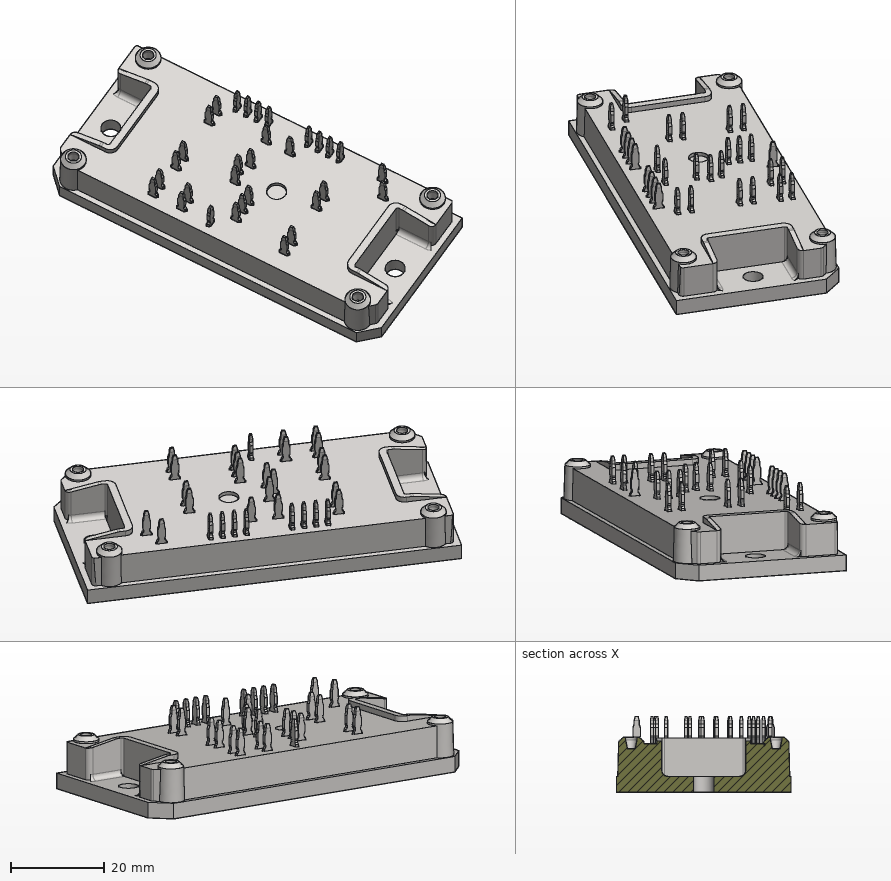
import cadquery as cq
import math

LENGTH = 82.0
WIDTH = 37.4
TOTAL_HEIGHT = 16.2
BASE_HEIGHT = 3.45
BASE_CORNER_CUT = 3.9

HOUSING_TOP = 10.4
HOUSING_LENGTH = 79.2
HOUSING_TOP_WIDTH = 34.5
HOUSING_BOTTOM_WIDTH = 34.9
HOUSING_CORNER_CUT = 3.2
HOUSING_CORNER_RADIUS = 0.9

NOTCH_WIDTH = 17.9
NOTCH_BACK_X = 30.6
NOTCH_BACK_RADIUS = 0.5
NOTCH_MOUTH_RADIUS = 1.15
NOTCH_FLOOR_FILLET = 1.2
FLOOR_FILLET_WRAP_ANGLE = 30
SLIT_GAP = 0.5
RIM_TOP = 11.65
RIM_SIDE_THICKNESS = 1.15
RIM_BACK_THICKNESS = 1.7
RIM_CORNER_RADIUS = 1.9
RIM_LEVEL_X = 32.15
RIM_SLOPE_BLEND_RADIUS = 2.95
MOUNT_HOLE_DIAMETER = 4.3

BOSS_X = 35.5
BOSS_Y = 15.5
BOSS_BOTTOM_DIAMETER = 5.9
BOSS_SHOULDER_DIAMETER = 5.5
BOSS_TOP_DIAMETER = 3.45
BOSS_SHOULDER_Z = 10.8
BOSS_TOP = 11.8
BOSS_HOLE_DIAMETER = 2.4
BOSS_HOLE_STRAIGHT_DEPTH = 0.65
BOSS_HOLE_END_DIAMETER = 1.6
BOSS_HOLE_DEPTH = 2.5

RECESS_X = 5.9
RECESS_DIAMETER = 4.3
RECESS_DEPTH = 0.8

PIN_THICKNESS = 0.7
PIN_TIP_THICKNESS = 0.4
PIN_TIP_HEIGHT = 0.9
PIN_HEIGHT = TOTAL_HEIGHT - HOUSING_TOP
PIN_POCKET_LENGTH = 2.55
PIN_POCKET_WIDTH = 1.1
PIN_POCKET_DEPTH = 0.4
PIN_EMBED = 2 * PIN_POCKET_DEPTH
PIN_HALF_PROFILE = [
    (1.0, 0.0),
    (1.0, 0.4),
    (0.65, 0.8),
    (0.65, 1.2),
    (0.8, 1.6),
    (0.8, 3.45),
    (0.6, 4.2),
    (0.6, PIN_HEIGHT - PIN_TIP_HEIGHT),
    (0.3, PIN_HEIGHT),
]
PINS_ALONG_X = [
    (-16.3, -14.3), (-16.3, -11.65),
    (-15.75, -5.7), (-15.75, -2.8), (-15.75, 8.0), (-15.75, 11.1),
    (-9.2, -14.3), (-9.2, -11.65),
    (-3.85, 0.25), (-2.95, -2.5), (-2.4, 2.95), (-2.7, 10.0),
    (2.2, -10.7), (2.2, -8.0), (2.2, -5.5), (3.2, 10.0),
    (15.6, -12.8), (15.6, -9.75), (15.4, 0.7), (15.4, 3.8),
    (23.8, 14.2), (26.2, 10.3),
]
SINGLE_PIN = (-2.05, -14.3)
PIN_ROW_Y = 14.35
PIN_ROW_STARTS = [-12.6, 5.25]
PIN_ROW_PITCH = 2.6
PINS_PER_ROW = 4
PINS_ALONG_Y = [SINGLE_PIN] + [
    (start + i * PIN_ROW_PITCH, PIN_ROW_Y) for start in PIN_ROW_STARTS for i in range(PINS_PER_ROW)
]


def block(x_range, y_range, z_range):
    """A box between two X, two Y and two Z values."""
    size = [high - low for low, high in (x_range, y_range, z_range)]
    return cq.Workplane("XY").box(*size, centered=False).translate(
        (x_range[0], y_range[0], z_range[0])
    )


def at_both_ends(shape):
    """The shape at the +X end together with its mirror image at the -X end."""
    return shape.union(shape.mirror("YZ"))


def make_base():
    plate = cq.Workplane("XY").box(LENGTH, WIDTH, BASE_HEIGHT, centered=(True, True, False))
    return plate.edges("|Z and <Y").chamfer(BASE_CORNER_CUT)


def make_housing():
    """Block with slightly drafted long sides, its -Y corners cut like those of the base."""
    drafted = (
        cq.Workplane("YZ")
        .polyline([
            (-HOUSING_BOTTOM_WIDTH / 2, BASE_HEIGHT),
            (HOUSING_BOTTOM_WIDTH / 2, BASE_HEIGHT),
            (HOUSING_TOP_WIDTH / 2, HOUSING_TOP),
            (-HOUSING_TOP_WIDTH / 2, HOUSING_TOP),
        ])
        .close()
        .extrude(HOUSING_LENGTH / 2, both=True)
    )
    outline = cq.Workplane("XY").box(
        HOUSING_LENGTH, HOUSING_BOTTOM_WIDTH, HOUSING_TOP, centered=(True, True, False)
    )
    outline = outline.edges("|Z and <Y").chamfer(HOUSING_CORNER_CUT)
    outline = outline.edges("|Z").fillet(HOUSING_CORNER_RADIUS)
    return drafted.intersect(outline)


def make_rim():
    """Raised edge around a notch; it slopes up from the housing end and is level at the back."""
    end_x = HOUSING_LENGTH / 2
    outer_x = NOTCH_BACK_X - RIM_BACK_THICKNESS
    outer_y = NOTCH_WIDTH / 2 + RIM_SIDE_THICKNESS
    side_profile = (
        cq.Workplane("XZ")
        .polyline([
            (outer_x, BASE_HEIGHT),
            (outer_x, RIM_TOP),
            (RIM_LEVEL_X, RIM_TOP),
            (end_x, HOUSING_TOP),
            (end_x, BASE_HEIGHT),
        ])
        .close()
        .extrude(outer_y, both=True)
    )
    rim = side_profile.edges("|Z and <X").fillet(RIM_CORNER_RADIUS)
    return rim.faces(">Z").edges(">X").fillet(RIM_SLOPE_BLEND_RADIUS)


def make_notch():
    """Cutter for the space of a notch above the base plate."""
    half = NOTCH_WIDTH / 2
    notch = block((NOTCH_BACK_X, LENGTH / 2), (-half, half), (BASE_HEIGHT, TOTAL_HEIGHT))
    notch = notch.edges("|Z and <X").fillet(NOTCH_BACK_RADIUS)
    radius = NOTCH_MOUTH_RADIUS
    end_x = HOUSING_LENGTH / 2
    for side in (-1, 1):
        y_range = sorted((side * half, side * (half + radius)))
        corner = block((end_x - radius, end_x), y_range, (BASE_HEIGHT, TOTAL_HEIGHT))
        post = (
            cq.Workplane("XY", origin=(end_x - radius, side * (half + radius), BASE_HEIGHT))
            .circle(radius)
            .extrude(TOTAL_HEIGHT - BASE_HEIGHT)
        )
        notch = notch.union(corner.cut(post))
    return notch


def make_floor_fillet():
    """Concave fillet along both side walls of a notch, wrapped around the mouth edges."""
    wall_y = NOTCH_WIDTH / 2
    size = NOTCH_FLOOR_FILLET
    radius = NOTCH_MOUTH_RADIUS
    start_x = NOTCH_BACK_X + SLIT_GAP
    turn_x = HOUSING_LENGTH / 2 - radius
    turn_y = wall_y + radius
    middle = size * (1 - math.sqrt(0.5))

    def profile(workplane, foot):
        return (
            workplane.moveTo(foot, BASE_HEIGHT)
            .lineTo(foot - size, BASE_HEIGHT)
            .threePointArc((foot - middle, BASE_HEIGHT + middle), (foot, BASE_HEIGHT + size))
            .close()
        )

    straight = profile(cq.Workplane("YZ", origin=(start_x, 0, 0)), wall_y).extrude(turn_x - start_x)
    corner = profile(cq.Workplane("YZ", origin=(turn_x, 0, 0)), wall_y).revolve(
        FLOOR_FILLET_WRAP_ANGLE, (turn_y, 0, 0), (turn_y, 1, 0)
    )
    fillet = straight.union(corner)
    return fillet.union(fillet.mirror("XZ"))


def make_slit():
    """Cutter for the narrow through slit between the notch back wall and the floor."""
    half = NOTCH_WIDTH / 2
    return block((NOTCH_BACK_X, NOTCH_BACK_X + SLIT_GAP), (-half, half), (0, BASE_HEIGHT))


def make_boss(x, y):
    """Drafted round boss with a conical head, standing on the base plate."""
    return (
        cq.Workplane("XZ")
        .polyline([
            (0, BASE_HEIGHT),
            (BOSS_BOTTOM_DIAMETER / 2, BASE_HEIGHT),
            (BOSS_SHOULDER_DIAMETER / 2, BOSS_SHOULDER_Z),
            (BOSS_TOP_DIAMETER / 2, BOSS_TOP),
            (0, BOSS_TOP),
        ])
        .close()
        .revolve(360, (0, 0, 0), (0, 1, 0))
        .translate((x, y, 0))
    )


def make_boss_hole(x, y):
    """Cutter for the blind hole in a boss: a short straight mouth, then a taper to a flat end."""
    return (
        cq.Workplane("XZ")
        .polyline([
            (0, BOSS_TOP),
            (BOSS_HOLE_DIAMETER / 2, BOSS_TOP),
            (BOSS_HOLE_DIAMETER / 2, BOSS_TOP - BOSS_HOLE_STRAIGHT_DEPTH),
            (BOSS_HOLE_END_DIAMETER / 2, BOSS_TOP - BOSS_HOLE_DEPTH),
            (0, BOSS_TOP - BOSS_HOLE_DEPTH),
        ])
        .close()
        .revolve(360, (0, 0, 0), (0, 1, 0))
        .translate((x, y, 0))
    )


def make_pin_pockets(points, angle):
    """Cutter for the shallow round-ended pockets that the pins stand in."""
    return (
        cq.Workplane("XY", origin=(0, 0, HOUSING_TOP))
        .pushPoints(points)
        .slot2D(PIN_POCKET_LENGTH, PIN_POCKET_WIDTH, angle)
        .extrude(-PIN_POCKET_DEPTH)
    )


def make_pin():
    """Flat pin with its blade along X, tapered to the tip in width and in thickness."""
    foot_half = PIN_HALF_PROFILE[0][0]
    right = [(foot_half, -PIN_EMBED)] + PIN_HALF_PROFILE
    left = [(-half, z) for half, z in reversed(right)]
    blade = cq.Workplane("XZ").polyline(right + left).close().extrude(PIN_THICKNESS / 2, both=True)
    half = PIN_THICKNESS / 2
    tip_half = PIN_TIP_THICKNESS / 2
    tip_start = PIN_HEIGHT - PIN_TIP_HEIGHT
    side = (
        cq.Workplane("YZ")
        .polyline([
            (-half, -PIN_EMBED),
            (half, -PIN_EMBED),
            (half, tip_start),
            (tip_half, PIN_HEIGHT),
            (-tip_half, PIN_HEIGHT),
            (-half, tip_start),
        ])
        .close()
        .extrude(foot_half, both=True)
    )
    return blade.intersect(side).translate((0, 0, HOUSING_TOP))


boss_points = [(x, y) for x in (-BOSS_X, BOSS_X) for y in (-BOSS_Y, BOSS_Y)]

result = make_base().union(make_housing()).union(at_both_ends(make_rim()))
result = result.cut(at_both_ends(make_notch()))
result = result.union(at_both_ends(make_floor_fillet()))
result = result.cut(at_both_ends(make_slit()))

for boss_x, boss_y in boss_points:
    result = result.union(make_boss(boss_x, boss_y)).cut(make_boss_hole(boss_x, boss_y))
mount_holes = (
    cq.Workplane("XY")
    .pushPoints([(-BOSS_X, 0), (BOSS_X, 0)])
    .circle(MOUNT_HOLE_DIAMETER / 2)
    .extrude(BASE_HEIGHT)
)
recess = (
    cq.Workplane("XY", origin=(RECESS_X, 0, HOUSING_TOP))
    .circle(RECESS_DIAMETER / 2)
    .extrude(-RECESS_DEPTH)
)
result = result.cut(mount_holes).cut(recess)
result = result.cut(make_pin_pockets(PINS_ALONG_X, 0)).cut(make_pin_pockets(PINS_ALONG_Y, 90))

pin_along_x = make_pin()
pin_along_y = pin_along_x.rotate((0, 0, 0), (0, 0, 1), 90)
for x, y in PINS_ALONG_X:
    result = result.union(pin_along_x.translate((x, y, 0)))
for x, y in PINS_ALONG_Y:
    result = result.union(pin_along_y.translate((x, y, 0)))